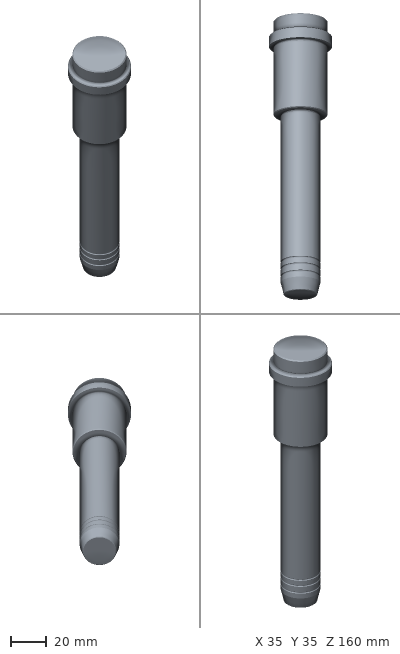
import cadquery as cq

total_length = 160.0
collar_radius = 17.52
body_radius = 15.0
shaft_radius = 11.0
tip_radius = 9.3

body_bottom = 105.0
collar_bottom = 145.0
collar_top = 151.0
tip_length = 7.0

edge_chamfer = 0.5
top_chamfer = 0.6
tip_chamfer = 0.3
relief_width = 1.0
relief_depth = 0.5
collar_groove_radius = 0.5
ring_groove_radius = 0.5
ring_groove_heights = (10.5, 14.9, 18.7)


def cylinder(radius, bottom, top):
    return cq.Workplane("XY").workplane(offset=bottom).circle(radius).extrude(top - bottom)


def groove_cutter(radius, depth, bottom, width):
    """Ring that cuts a square groove into a cylinder of the given radius."""
    outer = cylinder(radius, bottom, bottom + width)
    return outer.cut(cylinder(radius - depth, bottom, bottom + width))


def round_groove_cutter(radius, groove_radius, center_height):
    """Torus that cuts a half-round groove into a cylinder of the given radius."""
    return (
        cq.Workplane("XZ")
        .center(radius, center_height)
        .circle(groove_radius)
        .revolve(360, (-radius, 0), (-radius, 1))
    )


def make_shaft():
    """Guide shaft with a tapered tip, ring grooves and a relief under the body."""
    tip = (
        cq.Workplane("XZ")
        .polyline([(0, 0), (tip_radius, 0), (shaft_radius, tip_length), (0, tip_length)])
        .close()
        .revolve(360, (0, 0), (0, 1))
        .faces("<Z")
        .chamfer(tip_chamfer)
    )
    shaft = tip.union(cylinder(shaft_radius, tip_length, body_bottom))
    for height in ring_groove_heights:
        shaft = shaft.cut(round_groove_cutter(shaft_radius, ring_groove_radius, height))
    relief_bottom = body_bottom - relief_width
    return shaft.cut(groove_cutter(shaft_radius, relief_depth, relief_bottom, relief_width))


def make_body():
    """Mounting body with a half-round groove on each side of the collar seat."""
    body = cylinder(body_radius, body_bottom, total_length)
    body = body.faces("<Z").chamfer(edge_chamfer).faces(">Z").chamfer(top_chamfer)
    for height in (collar_bottom - collar_groove_radius, collar_top + collar_groove_radius):
        body = body.cut(round_groove_cutter(body_radius, collar_groove_radius, height))
    return body


def make_collar():
    return cylinder(collar_radius, collar_bottom, collar_top).faces(">Z").chamfer(edge_chamfer)


result = make_shaft().union(make_body()).union(make_collar())